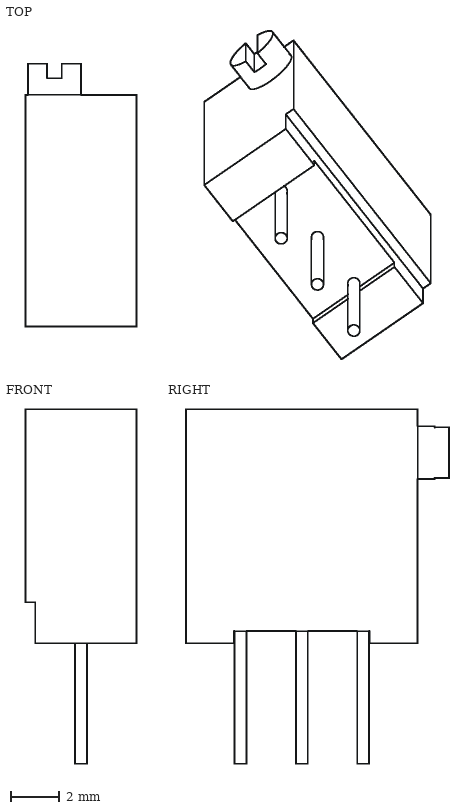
import cadquery as cq


BODY_X = 4.6
BODY_Y = 9.6
BODY_Z = 9.7
STEP_DEPTH = 0.4
BASE_HEIGHT = 1.7

CHANNEL_WIDTH = 5.6
CHANNEL_HEIGHT = 0.5

PIN_DIAMETER = 0.5
PIN_PITCH = 2.54
PIN_LENGTH = 5.0

SCREW_DIAMETER = 2.2
SCREW_LENGTH = 1.3
SCREW_FROM_SIDE = 1.2
SCREW_FROM_TOP = 1.8
SLOT_WIDTH = 0.6
SLOT_DEPTH = 0.6


def make_housing():
    """Box with a set-back base on the -X side and a channel underneath."""
    left = -BODY_X / 2
    right = BODY_X / 2
    base_left = left + STEP_DEPTH
    profile = [
        (base_left, 0),
        (right, 0),
        (right, BODY_Z),
        (left, BODY_Z),
        (left, BASE_HEIGHT),
        (base_left, BASE_HEIGHT),
    ]
    housing = cq.Workplane("XZ").polyline(profile).close().extrude(BODY_Y / 2, both=True)
    channel = cq.Workplane("XY").box(
        BODY_X, CHANNEL_WIDTH, CHANNEL_HEIGHT, centered=(True, True, False)
    )
    return housing.cut(channel)


def make_screw():
    """Slotted round screw head standing out along +Y, with its slot along Z."""
    axis_x = -BODY_X / 2 + SCREW_FROM_SIDE
    axis_z = BODY_Z - SCREW_FROM_TOP
    head = (
        cq.Workplane("XZ", origin=(axis_x, BODY_Y / 2, axis_z))
        .circle(SCREW_DIAMETER / 2)
        .extrude(-SCREW_LENGTH)
    )
    slot_middle_y = BODY_Y / 2 + SCREW_LENGTH - SLOT_DEPTH / 2
    slot = (
        cq.Workplane("XY")
        .box(SLOT_WIDTH, SLOT_DEPTH, SCREW_DIAMETER)
        .translate((axis_x, slot_middle_y, axis_z))
    )
    return head.cut(slot)


def make_pin(y):
    """Round pin hanging from the channel ceiling at the given Y."""
    return (
        cq.Workplane("XY", origin=(0, y, CHANNEL_HEIGHT))
        .circle(PIN_DIAMETER / 2)
        .extrude(-(CHANNEL_HEIGHT + PIN_LENGTH))
    )


result = make_housing().union(make_screw())
for pin_y in (-PIN_PITCH, 0, PIN_PITCH):
    result = result.union(make_pin(pin_y))